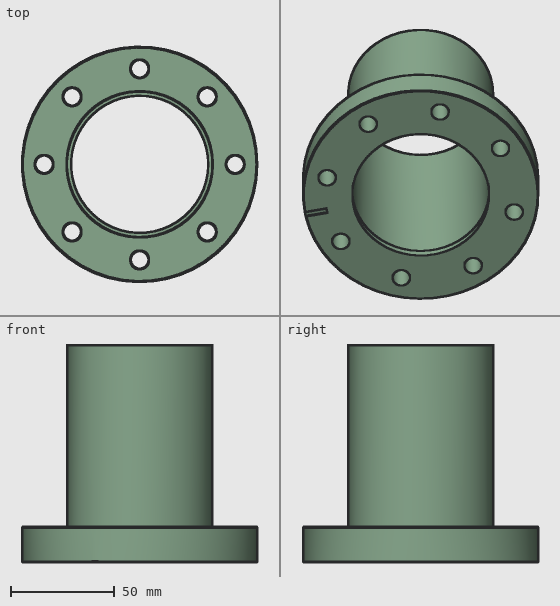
import cadquery as cq

flange_diameter = 113.5
flange_thickness = 17.5
top_chamfer_height = 0.8
top_chamfer_width = 0.5
bottom_chamfer = 0.4

bolt_count = 8
bolt_circle_diameter = 92.1
bolt_hole_diameter = 8.4
bolt_hole_chamfer = 0.4

total_height = 104.8
tube_length = 100.0
tube_outer_diameter = 70.0
bore_diameter = 66.0
socket_diameter = 70.7
tube_base = total_height - tube_length

groove_width = 2.4
groove_depth = 0.8
groove_angle = -90 - 180 / bolt_count
groove_inner_radius = bolt_circle_diameter / 2


def make_flange():
    radius = flange_diameter / 2
    disc = (
        cq.Workplane("XZ")
        .moveTo(bore_diameter / 2, 0)
        .lineTo(radius - bottom_chamfer, 0)
        .lineTo(radius, bottom_chamfer)
        .lineTo(radius, flange_thickness - top_chamfer_height)
        .lineTo(radius - top_chamfer_width, flange_thickness)
        .lineTo(socket_diameter / 2, flange_thickness)
        .lineTo(socket_diameter / 2, tube_base)
        .lineTo(bore_diameter / 2, tube_base)
        .close()
        .revolve(360, (0, 0, 0), (0, 1, 0))
    )
    return disc.cut(make_bolt_hole_cutters()).cut(make_groove_cutter())


def make_bolt_hole_cutters():
    """Through holes on the bolt circle, each with a chamfered upper rim."""
    rim_diameter = bolt_hole_diameter + 2 * bolt_hole_chamfer
    hole = cq.Solid.makeCylinder(bolt_hole_diameter / 2, flange_thickness)
    rim = cq.Solid.makeCone(
        bolt_hole_diameter / 2,
        rim_diameter / 2,
        bolt_hole_chamfer,
        pnt=cq.Vector(0, 0, flange_thickness - bolt_hole_chamfer),
    )
    cutter = hole.fuse(rim)
    return (
        cq.Workplane("XY")
        .polarArray(bolt_circle_diameter / 2, 0, 360, bolt_count)
        .eachpoint(lambda place: cutter.moved(place))
    )


def make_groove_cutter():
    """Radial slot from the bolt circle out past the flange rim."""
    length = flange_diameter / 2 - groove_inner_radius + groove_width
    return (
        cq.Workplane("XY")
        .box(length, groove_width, groove_depth, centered=(False, True, False))
        .translate((groove_inner_radius, 0, 0))
        .rotate((0, 0, 0), (0, 0, 1), groove_angle)
    )


def make_tube():
    return (
        cq.Workplane("XY", origin=(0, 0, tube_base))
        .circle(tube_outer_diameter / 2)
        .circle(bore_diameter / 2)
        .extrude(tube_length)
    )


flange = make_flange()
tube = make_tube()

result = cq.Compound.makeCompound([flange.val(), tube.val()])